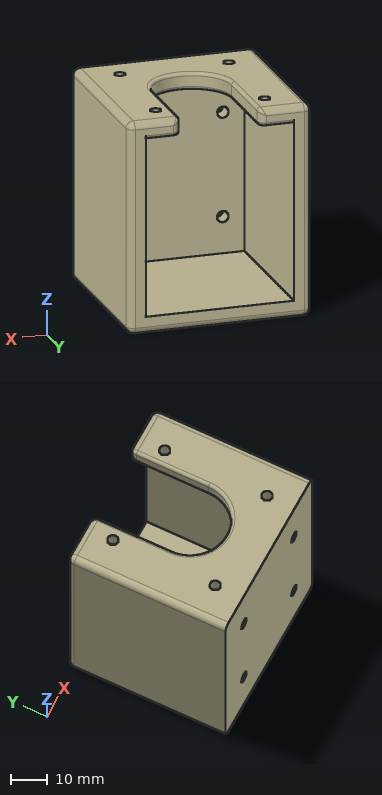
import cadquery as cq
import math

width = 52.3
depth = 48.0
height = 61.0
outer_radius = 2.0

wall = 5.0

slot_width = 22.45
slot_rim_radius = 1.0

front_hole_diameter = 3.2
front_hole_spacing = 30.0
top_hole_diameter = 3.0
top_hole_spacing = 31.1


def make_block():
    """Block with every edge rounded except those of the flat front face."""
    block = cq.Workplane("XY").box(width, depth, height)
    return block.edges("not(<Y)").fillet(outer_radius)


def make_slot():
    """Slot with a round inner end on the plate centre, flaring out at the back face."""
    radius = slot_width / 2
    back = depth / 2
    flare_start = back - outer_radius
    flare_half_width = radius + outer_radius
    arc_inset = outer_radius * (1 - math.sqrt(0.5))
    return (
        cq.Workplane("XY")
        .moveTo(-flare_half_width, back)
        .threePointArc((-radius - arc_inset, back - arc_inset), (-radius, flare_start))
        .lineTo(-radius, 0)
        .threePointArc((0, -radius), (radius, 0))
        .lineTo(radius, flare_start)
        .threePointArc((radius + arc_inset, back - arc_inset), (flare_half_width, back))
        .lineTo(flare_half_width, depth)
        .lineTo(-flare_half_width, depth)
        .close()
        .extrude(height)
    )


def round_slot_rim(body):
    """Round the slot edges around the top and bottom of the plate, including the flare."""
    margin = 0.05
    reach = slot_width / 2 + margin
    back_limit = depth / 2 - outer_radius + margin
    for level in (height / 2, height / 2 - wall):
        rim_box = cq.selectors.BoxSelector(
            (-reach, -reach, level - margin),
            (reach, back_limit, level + margin),
        )
        body = body.edges(rim_box).fillet(slot_rim_radius)
    return body


def make_cavity():
    """Rectangular cavity leaving equal walls on every side but the open back."""
    return cq.Workplane("XY").box(
        width - 2 * wall, depth, height - 2 * wall
    ).translate((0, wall, 0))


def make_holes(workplane, spacing, diameter, length):
    """Four cylinders at the corners of a square."""
    corners = workplane.rect(spacing, spacing, forConstruction=True).vertices()
    return corners.circle(diameter / 2).extrude(length)


hollow_block = make_block().cut(make_cavity())
housing = round_slot_rim(hollow_block.cut(make_slot()))

front_plane = cq.Workplane("XZ", origin=(0, -depth / 2 + wall, 0))
front_holes = make_holes(front_plane, front_hole_spacing, front_hole_diameter, wall)
top_plane = cq.Workplane("XY", origin=(0, 0, height / 2 - wall))
top_holes = make_holes(top_plane, top_hole_spacing, top_hole_diameter, wall)

result = housing.cut(front_holes).cut(top_holes)